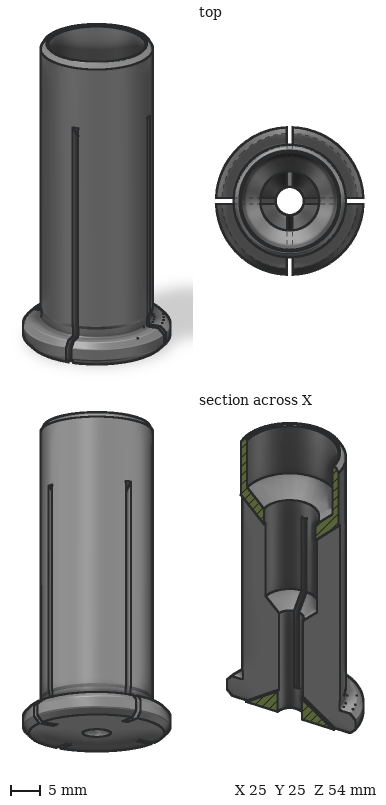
import cadquery as cq
import math

length = 54.0
flange_radius = 25.0 / 2
sleeve_radius = 19.05 / 2

flange_height = 4.0
flange_chamfer = 1.0
neck_radius = 9.4
neck_fillet = 0.4
neck_top = 5.5
sleeve_bottom = 6.05
tip_chamfer_height = 1.0
tip_chamfer_width = 0.6
edge_round = 0.45

mouth_radius = 16.5 / 2
middle_radius = 10.0 / 2
hole_radius = 4.75 / 2
mouth_chamfer = 0.25
mouth_floor = 44.05
hole_top = 20.0

slot_width = 0.95
slot_top = 42.05
slot_floor_at_hole = 4.3
slot_floor_angle = 35.0


def round_circle(body, radius, height):
    """Round the circular edge with the given radius and height."""
    margin = 0.05
    outer = radius + margin
    corner = (outer, outer, height + margin)
    opposite = (-outer, -outer, height - margin)
    edges = body.edges(cq.selectors.BoxSelector(opposite, corner, boundingbox=True))
    return body.newObject(edges.edges("%CIRCLE").vals()).fillet(edge_round)


def make_body():
    """Revolve the flange, undercut neck and sleeve."""
    profile = (
        cq.Workplane("XZ")
        .lineTo(flange_radius - flange_chamfer, 0)
        .lineTo(flange_radius, flange_chamfer)
        .lineTo(flange_radius, flange_height - flange_chamfer)
        .lineTo(flange_radius - flange_chamfer, flange_height)
        .lineTo(neck_radius + neck_fillet, flange_height)
        .radiusArc((neck_radius, flange_height + neck_fillet), neck_fillet)
        .lineTo(neck_radius, neck_top)
        .lineTo(sleeve_radius, sleeve_bottom)
        .lineTo(sleeve_radius, length - tip_chamfer_height)
        .lineTo(sleeve_radius - tip_chamfer_width, length)
        .lineTo(0, length)
        .close()
    )
    body = profile.revolve(360, (0, 0, 0), (0, 1, 0))
    rounded_edges = (
        (flange_radius, flange_chamfer),
        (flange_radius, flange_height - flange_chamfer),
        (flange_radius - flange_chamfer, flange_height),
        (sleeve_radius - tip_chamfer_width, length),
    )
    for radius, height in rounded_edges:
        body = round_circle(body, radius, height)
    return body


def make_bore():
    """Revolve the wide mouth, middle bore and through hole."""
    middle_top = mouth_floor - (mouth_radius - middle_radius)
    middle_floor = hole_top + (middle_radius - hole_radius)
    profile = (
        cq.Workplane("XZ")
        .lineTo(hole_radius, 0)
        .lineTo(hole_radius, hole_top)
        .lineTo(middle_radius, middle_floor)
        .lineTo(middle_radius, middle_top)
        .lineTo(mouth_radius, mouth_floor)
        .lineTo(mouth_radius, length - mouth_chamfer)
        .lineTo(mouth_radius + mouth_chamfer, length)
        .lineTo(0, length)
        .close()
    )
    return profile.revolve(360, (0, 0, 0), (0, 1, 0))


def make_slot():
    """Slot through one wall: the roof falls towards the axis, the floor away from it."""
    roof_at_axis = slot_top - sleeve_radius
    floor_slope = math.tan(math.radians(slot_floor_angle))
    floor_at_axis = slot_floor_at_hole + hole_radius * floor_slope
    return (
        cq.Workplane("XZ")
        .moveTo(0, floor_at_axis)
        .lineTo(floor_at_axis / floor_slope, 0)
        .lineTo(flange_radius, 0)
        .lineTo(flange_radius, roof_at_axis + flange_radius)
        .lineTo(0, roof_at_axis)
        .close()
        .extrude(slot_width / 2, both=True)
    )


result = make_body().cut(make_bore())
slot = make_slot()
for angle in (0, 90, 180, 270):
    result = result.cut(slot.rotate((0, 0, 0), (0, 0, 1), angle))